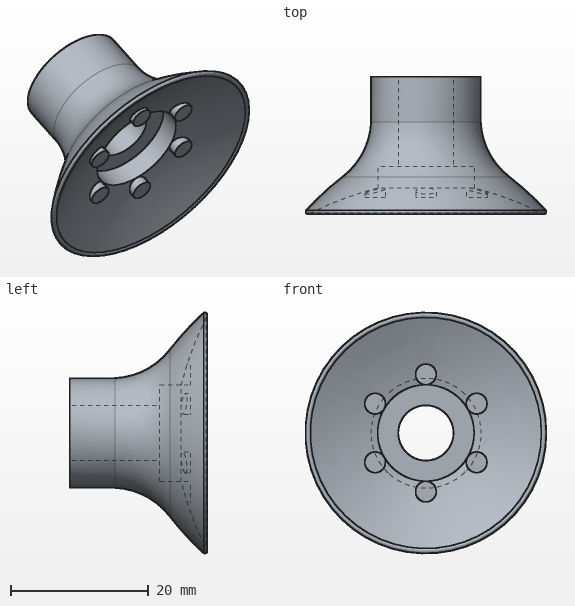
import cadquery as cq
import math

rim_radius = 17.5
length = 20.0

neck_radius = 7.98
neck_length = 6.58
skirt_radius = 12.1
skirt_height = 5.45
flare_mid_radius = 9.15
flare_mid_height = 9.03
skirt_bulge = 0.15

lip_round_radius = 0.4
lip_outer_height = 0.55
lip_inner_radius = 16.75

bore_radius = 4.0
recess_radius = 7.0
recess_floor = 7.0
dome_height = 3.85
dome_bulge = 0.28

stud_count = 6
stud_radius = 1.5
stud_circle_radius = 8.5
stud_face_height = 2.5
stud_root_height = 4.2


def bulged_point(start, end, bulge):
    """Point offset from the middle of a chord, to the left of its direction."""
    dx = end[0] - start[0]
    dy = end[1] - start[1]
    chord = math.hypot(dx, dy)
    mid_x = (start[0] + end[0]) / 2 - bulge * dy / chord
    mid_y = (start[1] + end[1]) / 2 + bulge * dx / chord
    return (mid_x, mid_y)


def make_cup():
    """Revolve the half section around the Y axis."""
    flare_top = (neck_radius, length - neck_length)
    skirt_top = (skirt_radius, skirt_height)
    lip_center_radius = rim_radius - lip_round_radius
    lip_reach = math.sqrt(lip_round_radius**2 - (lip_outer_height - lip_round_radius) ** 2)
    lip_outer = (lip_center_radius + lip_reach, lip_outer_height)
    lip_depth = math.sqrt(lip_round_radius**2 - (lip_center_radius - lip_inner_radius) ** 2)
    lip_inner = (lip_inner_radius, lip_round_radius - lip_depth)
    dome_edge = (recess_radius, dome_height)
    section = (
        cq.Workplane("XY")
        .moveTo(bore_radius, length)
        .lineTo(neck_radius, length)
        .lineTo(*flare_top)
        .threePointArc((flare_mid_radius, flare_mid_height), skirt_top)
        .threePointArc(bulged_point(skirt_top, lip_outer, skirt_bulge), lip_outer)
        .threePointArc((lip_center_radius, 0), lip_inner)
        .threePointArc(bulged_point(lip_inner, dome_edge, -dome_bulge), dome_edge)
        .lineTo(recess_radius, recess_floor)
        .lineTo(bore_radius, recess_floor)
        .close()
    )
    return section.revolve(360, (0, 0, 0), (0, 1, 0))


def make_studs():
    """Ring of round studs standing on the dome, the first one straight up."""
    return (
        cq.Workplane("XZ", origin=(0, stud_face_height, 0))
        .polarArray(stud_circle_radius, 90, 360, stud_count)
        .circle(stud_radius)
        .extrude(stud_face_height - stud_root_height)
    )


result = make_cup().union(make_studs())